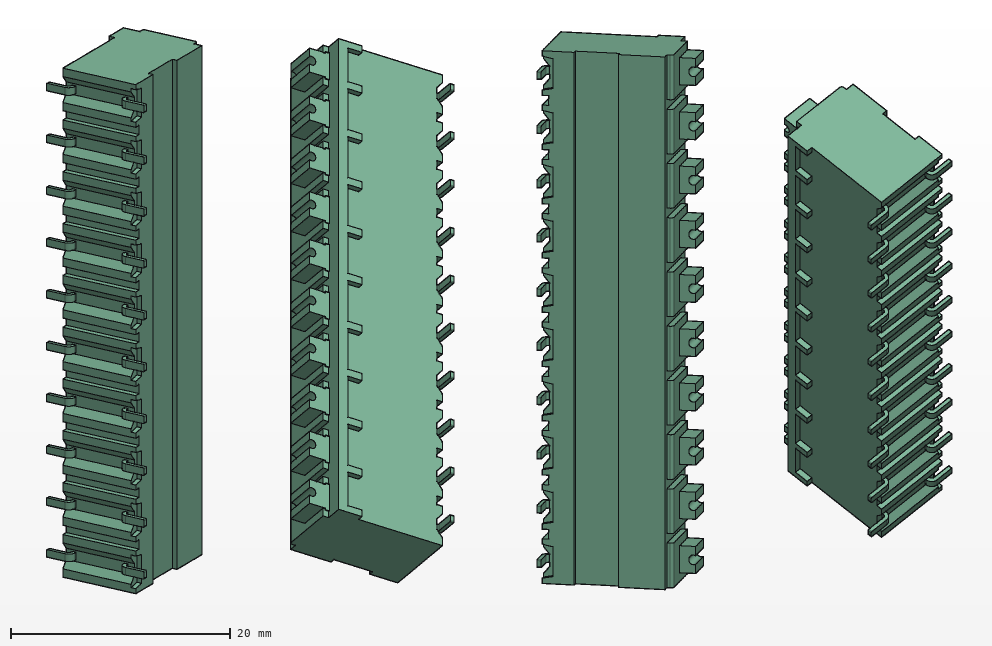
import cadquery as cq


pole_count = 10
length = 49.9
end_margin = 2.1
pitch = (length - 2 * end_margin) / (pole_count - 1)
pole_heights = [end_margin + i * pitch for i in range(pole_count)]
gap_heights = [z + pitch / 2 for z in pole_heights[:-1]]

left_face = -3.65
right_face = 4.2
front_face = 0.25
back_face = 11.75
flange_depth = 0.6
flange_left = left_face - flange_depth
flange_front = 10.75
tab_front = 9.25
right_recess_depth = 0.5
right_recess_face = right_face - right_recess_depth
right_recess_front = 3.25
right_recess_back = 7.4

spine_left = -2.5
spine_right = 3.35
spine_back = 12.35
spine_corner = 0.3

tab_width = 0.75
end_tab_width = 0.7

groove_mouth = 2.55
groove_floor = 1.1
groove_depth = 0.6
slot_width = 0.9
pocket_mouth = 3.2
pocket_floor = 2.8
pocket_depth = 1.0

lever_right = 0.7
lever_back = 13.85
lever_width = 2.55
lever_overhang = 0.1
lever_left = spine_left - lever_overhang
lug_height = 0.4
lug_width = 2.85
notch_radius = 0.45
notch_inset = 0.2

foot_span = 10.5
foot_width = 0.75
foot_thickness = 0.4
foot_corner = 0.1
bend_radius = 0.65
leg_face = 2.6
leg_embed = 0.5


def box(x_range, y_range, z_range):
    """Box between the given limits on each axis."""
    size = [b - a for a, b in (x_range, y_range, z_range)]
    corner = (x_range[0], y_range[0], z_range[0])
    return cq.Workplane("XY").box(*size, centered=False).translate(corner)


def around(center, width):
    """Limits of a width centred on a position."""
    return center - width / 2, center + width / 2


def housing_block():
    """Housing section with an uninterrupted flange, extruded along the strip."""
    outline = (
        cq.Workplane("XY")
        .moveTo(left_face, front_face)
        .lineTo(right_face, front_face)
        .lineTo(right_face, right_recess_front)
        .lineTo(right_recess_face, right_recess_front)
        .lineTo(right_recess_face, right_recess_back)
        .lineTo(right_face, right_recess_back)
        .lineTo(right_face, back_face)
        .lineTo(spine_right, back_face)
        .lineTo(spine_right, spine_back - spine_corner)
        .radiusArc((spine_right - spine_corner, spine_back), -spine_corner)
        .lineTo(spine_left, spine_back)
        .lineTo(spine_left, back_face)
        .lineTo(flange_left, back_face)
        .lineTo(flange_left, tab_front)
        .lineTo(left_face, tab_front)
        .close()
    )
    return outline.extrude(length)


def flange_window(index):
    """Space between two neighbouring tabs, in front of the shortened flange."""
    bottom = end_tab_width
    top = length - end_tab_width
    if index > 0:
        bottom = gap_heights[index - 1] + tab_width / 2
    if index < pole_count - 1:
        top = gap_heights[index] - tab_width / 2
    return box((flange_left, left_face), (tab_front, flange_front), (bottom, top))


def trapezoid_channel(z, mouth, floor, depth, x_range):
    """Channel along X in the front face, narrowing towards its floor."""
    floor_y = front_face + depth
    section = cq.Workplane("YZ").polyline([
        (front_face, z - mouth / 2),
        (floor_y, z - floor / 2),
        (floor_y, z + floor / 2),
        (front_face, z + mouth / 2),
    ])
    start, end = x_range
    return section.close().extrude(end - start).translate((start, 0, 0))


def front_groove(z):
    """Groove across the whole housing in front of one pole."""
    return trapezoid_channel(z, groove_mouth, groove_floor, groove_depth, (left_face, right_face))


def side_pocket(z):
    """Wider channel at the right-hand end of the groove."""
    return trapezoid_channel(z, pocket_mouth, pocket_floor, pocket_depth, (right_recess_face, right_face))


def gap_slots(z):
    """Slots between poles, across the front face and the spine."""
    heights = around(z, slot_width)
    front = box((left_face, right_face), (front_face, front_face + groove_depth), heights)
    back = box((spine_left, spine_right), (back_face, spine_back), heights)
    return front.union(back)


def lever(z):
    """Lever with a round notch in its back face and a lug at its root."""
    body = box((lever_left, lever_right), (back_face, lever_back), around(z, lever_width))
    notch = (
        cq.Workplane("YZ")
        .center(lever_back - notch_inset, z)
        .circle(notch_radius)
        .extrude(lever_right - lever_left)
        .translate((lever_left, 0, 0))
    )
    lug = box((lever_left, spine_left), (back_face, back_face + lug_height), around(z, lug_width))
    return body.cut(notch).union(lug)


def right_foot(z):
    """Flat foot that bends into a leg entering the housing."""
    tip = foot_span / 2
    bend_center = leg_face + bend_radius
    leg_back = leg_face + foot_thickness
    leg_end = front_face + groove_depth + leg_embed
    profile = (
        cq.Workplane("XY")
        .moveTo(tip, 0)
        .lineTo(bend_center, 0)
        .radiusArc((leg_face, bend_radius), bend_radius)
        .lineTo(leg_face, leg_end)
        .lineTo(leg_back, leg_end)
        .lineTo(leg_back, bend_radius)
        .radiusArc((bend_center, foot_thickness), foot_thickness - bend_radius)
        .lineTo(tip, foot_thickness)
        .close()
    )
    foot = profile.extrude(foot_width).translate((0, 0, z - foot_width / 2))
    return foot.faces(">X").edges("|Y").fillet(foot_corner)


result = housing_block()
for index, z in enumerate(pole_heights):
    result = result.cut(flange_window(index))
    result = result.cut(front_groove(z))
    result = result.cut(side_pocket(z))
for z in gap_heights:
    result = result.cut(gap_slots(z))
for z in pole_heights:
    foot = right_foot(z)
    result = result.union(lever(z)).union(foot).union(foot.mirror("YZ"))